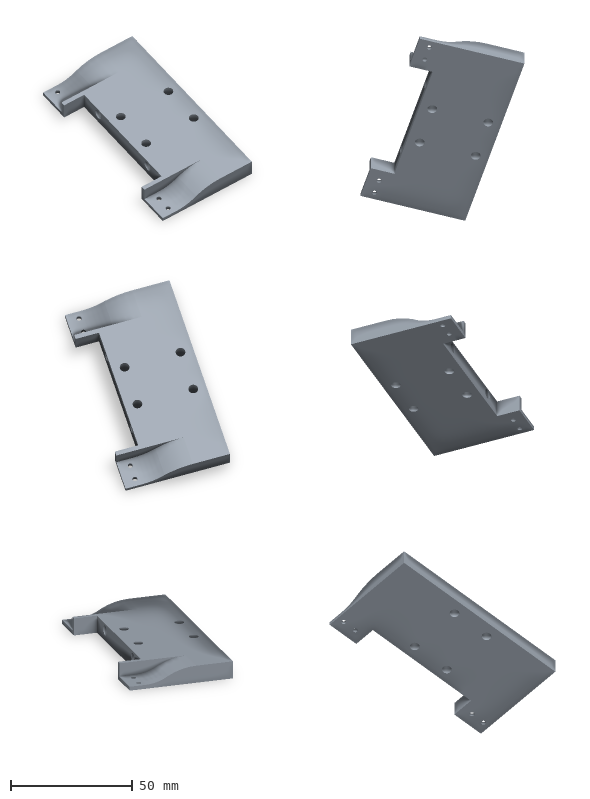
import cadquery as cq

length = 85.0
depth = 45.0
thickness = 7.5
notch_depth = 10.0

pocket_width = 13.0
wall_thickness = 1.95
arm_width = pocket_width + wall_thickness
floor_thickness = 1.7
ramp_front_y = 7.1
ramp_middle_y = 16.8
ramp_middle_z = 4.5
ramp_back_y = 29.0

plate_hole_diameter = 4.0
plate_hole_spacing_x = 18.0
plate_hole_spacing_y = 24.05
plate_hole_front_y = 15.4

floor_hole_diameter = 2.0
floor_hole_y = 5.0
floor_hole_spacing = pocket_width / 2

front_hole_diameter = 4.2
front_hole_spacing = 34.9
front_hole_z = 4.5
front_hole_depth = 10.0


def tangent_arc_radius(run, rise):
    """Radius of an arc that starts horizontal and covers the given run and rise."""
    return (run**2 + rise**2) / (2 * rise)


def make_plate():
    plate = cq.Workplane("XY").box(length, depth, thickness, centered=(True, False, False))
    notch_width = length - 2 * arm_width
    notch = cq.Workplane("XY").box(notch_width, notch_depth, thickness, centered=(True, False, False))
    return plate.cut(notch)


def make_ramp_pocket(start_x):
    """Volume above the floor and the S-shaped ramp, running from start_x towards +X."""
    lower_radius = tangent_arc_radius(ramp_middle_y - ramp_front_y, ramp_middle_z - floor_thickness)
    upper_radius = tangent_arc_radius(ramp_back_y - ramp_middle_y, thickness - ramp_middle_z)
    return (
        cq.Workplane("YZ", origin=(start_x, 0, 0))
        .moveTo(0, floor_thickness)
        .lineTo(ramp_front_y, floor_thickness)
        .radiusArc((ramp_middle_y, ramp_middle_z), -lower_radius)
        .radiusArc((ramp_back_y, thickness), upper_radius)
        .lineTo(0, thickness)
        .close()
        .extrude(pocket_width)
    )


def make_plate_holes():
    center_y = plate_hole_front_y + plate_hole_spacing_y / 2
    return (
        cq.Workplane("XY", origin=(0, center_y, 0))
        .rarray(plate_hole_spacing_x, plate_hole_spacing_y, 2, 2)
        .circle(plate_hole_diameter / 2)
        .extrude(thickness)
    )


def make_floor_holes(center_x):
    return (
        cq.Workplane("XY", origin=(center_x, floor_hole_y, 0))
        .rarray(floor_hole_spacing, 0.85, 2, 1)
        .circle(floor_hole_diameter / 2)
        .extrude(floor_thickness)
    )


def make_front_holes():
    return (
        cq.Workplane("XZ", origin=(0, notch_depth, front_hole_z))
        .rarray(front_hole_spacing, 0.85, 2, 1)
        .circle(front_hole_diameter / 2)
        .extrude(-front_hole_depth)
    )


result = make_plate().cut(make_plate_holes()).cut(make_front_holes())
for pocket_start_x in (-length / 2, length / 2 - pocket_width):
    result = result.cut(make_ramp_pocket(pocket_start_x))
    result = result.cut(make_floor_holes(pocket_start_x + pocket_width / 2))